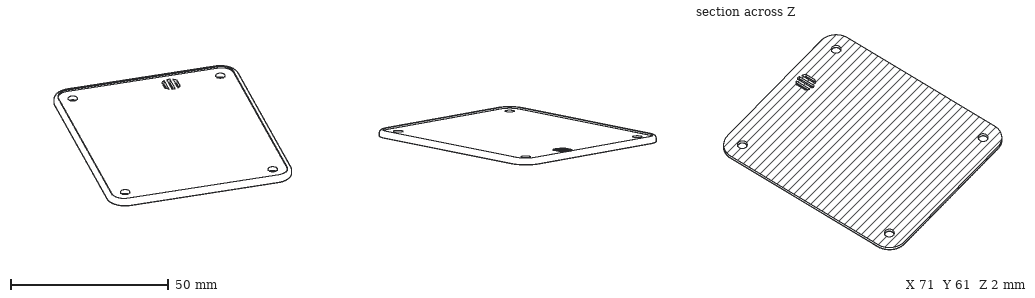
import cadquery as cq

length = 71.0
width = 61.0
height = 2.0
corner_radius = 6.0

edge_radius = 1.1
rim_inset = 1.5
recess_corner_radius = 4.0
recess_depth = 0.5

hole_diameter = 3.0
hole_spacing_x = length - 2 * corner_radius
hole_spacing_y = width - 2 * corner_radius

grille_x = -29.0
grille_y = 7.95
grille_diameter = 6.0
slot_width = 1.0
slot_pitch = 2.0
slot_count = 3


def rounded_plate(size_x, size_y, thickness, radius):
    """Plate standing on the XY plane with rounded vertical edges."""
    plate = cq.Workplane("XY").box(size_x, size_y, thickness, centered=(True, True, False))
    return plate.edges("|Z").fillet(radius)


def make_recess():
    """Shallow pocket that leaves an even rim around the top."""
    pocket = rounded_plate(
        length - 2 * rim_inset,
        width - 2 * rim_inset,
        recess_depth,
        recess_corner_radius,
    )
    return pocket.translate((0, 0, height - recess_depth))


def make_screw_holes():
    """Four through holes near the corners."""
    holes = cq.Workplane("XY").rect(hole_spacing_x, hole_spacing_y, forConstruction=True).vertices()
    return holes.circle(hole_diameter / 2).extrude(height)


def make_grille():
    """Parallel through slots trimmed to a round outline."""
    outline = cq.Workplane("XY").center(grille_x, grille_y).circle(grille_diameter / 2).extrude(height)
    slots = (
        cq.Workplane("XY")
        .center(grille_x, grille_y)
        .rarray(0.7, slot_pitch, 1, slot_count)
        .rect(grille_diameter, slot_width)
        .extrude(height)
    )
    return slots.intersect(outline)


plate = rounded_plate(length, width, height, corner_radius)
plate = plate.faces(">Z").edges().fillet(edge_radius)
result = plate.cut(make_recess()).cut(make_screw_holes()).cut(make_grille())